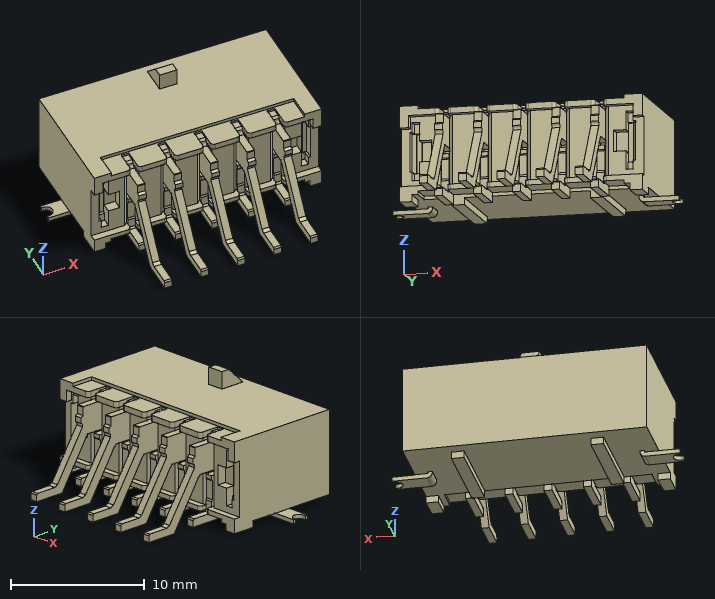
import cadquery as cq


housing_width = 18.75
housing_depth = 9.92
housing_top = 7.35
housing_bottom = 0.53
half_width = housing_width / 2
face_setback = 0.55
rim_lower_top = 1.2
rim_upper_bottom = 6.6
corner_drop_bottom = 5.68
corner_drop_width = 0.7
rim_relief = 0.27
rim_relief_width = 15.91
rim_relief_depth = 1.95
relief_bottom = housing_bottom + rim_relief
relief_top = housing_top - rim_relief

foot_width = 0.95
foot_depth = rim_relief_depth
rail_width = 0.97
rail_center = 5.35
rail_back = 8.93

latch_width = 1.41
latch_top = 8.75
latch_front = 7.12
latch_crest_back = 7.87
latch_back = 9.3

contact_count = 5
pitch = 3.0
contact_thickness = 0.62
groove_depth = 1.8
groove_flare = 0.29
contact_bottom = 0.05
tail_top = 0.7
tip_chamfer = 0.1
upper_tip = -5.97
upper_blade_bottom = 4.09
upper_blade_top = 6.39
barb_top = 6.92
barb_start = 0.82
barb_ramp_low = (0.97, 6.6)
barb_ramp_high = (1.02, 6.75)
barb_crest = 1.2
nose_front = -1.13
nose_chamfer = 0.05
bead_front = -1.35
bead_top = 5.55
bead_bottom = 5.1
bead_slope = 0.13
neck_front = -1.2
neck_bottom = 4.8
neck_mid = (-1.22, 5.0)
leg_top_foot = (-3.8, 0.86)
tail_start = -4.09
leg_bottom_foot = -3.3
leg_bottom_head = (-0.82, 3.87)
leg_bottom_root = -0.6
lower_tip = bead_front
lower_blade_top = 3.67
lower_blade_front = 0.6
blade_hollow = 0.07
hollow_bottom = 1.6
hollow_top = 3.34
hollow_lower_slope = 0.15
hollow_upper_slope = 0.09
tail_bevel = 0.13
contact_root = rim_relief_depth

pocket_inner_x = 7.95
clip_slot_width = 0.57
clip_slot_depth = 0.65
clip_slot_bottom = 1.72
clip_slot_top = 6.17
wide_slot_width = 0.75
wide_slot_step_width = 0.33
wide_slot_step_depth = 0.7
wide_slot_depth = 0.88
wide_slot_bottom = 2.39
wide_slot_top = 5.41
window_width = 0.93
window_bottom = 3.14
window_top = 4.75
window_depth = 0.77

clip_tip = 11.05
clip_front = 4.53
clip_width = 1.5
clip_thickness = 0.35
clip_leg_top = 1.77
clip_bend_radius = 0.42
clip_bend_inner_radius = clip_bend_radius - clip_thickness
clip_notch_radius = 0.5
clip_notch_length = 0.66


def box(x_range, y_range, z_range):
    """Box spanning the given (low, high) ranges."""
    size = [high - low for low, high in (x_range, y_range, z_range)]
    corner = (x_range[0], y_range[0], z_range[0])
    return cq.Workplane("XY").box(*size, centered=False).translate(corner)


def on_both_ends(shape):
    """The shape together with its mirror image at the other end of the row."""
    return shape.union(shape.mirror("YZ"))


def side_plate(profile, width, x_center=0.0):
    """Plate of the given X width from a closed (y, z) outline."""
    plane = cq.Workplane("YZ", origin=(x_center - width / 2, 0, 0))
    return plane.polyline(profile).close().extrude(width)


def make_housing():
    full_x = (-half_width, half_width)
    relief_x = (-rim_relief_width / 2, rim_relief_width / 2)
    inner_x = (-half_width + corner_drop_width, half_width - corner_drop_width)
    housing = box(full_x, (0, housing_depth), (housing_bottom, housing_top))
    setback = (0, face_setback)
    housing = housing.cut(box(full_x, setback, (rim_lower_top, corner_drop_bottom)))
    housing = housing.cut(box(inner_x, setback, (corner_drop_bottom, rim_upper_bottom)))
    for z_range in ((housing_bottom, relief_bottom), (relief_top, housing_top)):
        housing = housing.cut(box(relief_x, (0, rim_relief_depth), z_range))
    return housing


def make_feet():
    base_z = (0, housing_bottom)
    foot = box((-half_width, -half_width + foot_width), (0, foot_depth), base_z)
    rail_x = (-rail_center - rail_width / 2, -rail_center + rail_width / 2)
    rail = box(rail_x, (foot_depth, rail_back), base_z)
    return on_both_ends(foot.union(rail))


def make_latch():
    profile = [
        (latch_front, housing_top),
        (latch_front, latch_top),
        (latch_crest_back, latch_top),
        (latch_back, housing_top),
    ]
    return side_plate(profile, latch_width)


def make_groove(x_center):
    """Contact groove: chamfered mouth in the pin face, rounded mouths through the rims."""
    half = contact_thickness / 2
    mouth = half + groove_flare
    slot = box((-half, half), (0, groove_depth), (relief_bottom, relief_top))
    face_mouth = (
        cq.Workplane("XY", origin=(0, 0, rim_lower_top))
        .polyline([
            (-mouth, face_setback),
            (mouth, face_setback),
            (half, face_setback + groove_flare),
            (-half, face_setback + groove_flare),
        ])
        .close()
        .extrude(rim_upper_bottom - rim_lower_top)
    )
    rim_mouth = (
        cq.Workplane("XY", origin=(0, 0, relief_bottom))
        .moveTo(-mouth, 0)
        .radiusArc((-half, groove_flare), -groove_flare)
        .lineTo(half, groove_flare)
        .radiusArc((mouth, 0), -groove_flare)
        .close()
        .extrude(relief_top - relief_bottom)
    )
    return slot.union(face_mouth).union(rim_mouth).translate((x_center, 0, 0))


def make_upper_contact(x_center):
    barb_and_nose = [
        (barb_crest, barb_top),
        barb_ramp_high,
        barb_ramp_low,
        (barb_start, upper_blade_top),
        (nose_front + nose_chamfer, upper_blade_top),
        (nose_front, upper_blade_top - nose_chamfer),
        (nose_front, bead_top + bead_slope),
        (bead_front, bead_top),
        (bead_front, bead_bottom),
    ]
    leg_and_tail = [
        leg_top_foot,
        (tail_start, tail_top),
        (upper_tip + tip_chamfer, tail_top),
        (upper_tip, tail_top - tip_chamfer),
        (upper_tip, contact_bottom),
        (leg_bottom_foot, contact_bottom),
        leg_bottom_head,
        (leg_bottom_root, upper_blade_bottom),
        (contact_root, upper_blade_bottom),
    ]
    return (
        cq.Workplane("YZ", origin=(x_center - contact_thickness / 2, 0, 0))
        .moveTo(contact_root, barb_top)
        .polyline(barb_and_nose, includeCurrent=True)
        .threePointArc(neck_mid, (neck_front, neck_bottom))
        .polyline(leg_and_tail, includeCurrent=True)
        .close()
        .extrude(contact_thickness)
    )


def make_lower_contact(x_center):
    hollow_face = lower_blade_front + blade_hollow
    profile = [
        (contact_root, contact_bottom),
        (contact_root, lower_blade_top),
        (lower_blade_front, lower_blade_top),
        (lower_blade_front, hollow_top),
        (hollow_face, hollow_top - hollow_upper_slope),
        (hollow_face, hollow_bottom + hollow_lower_slope),
        (lower_blade_front, hollow_bottom),
        (lower_blade_front, tail_top + tail_bevel),
        (lower_blade_front - tail_bevel, tail_top),
        (lower_tip + tip_chamfer, tail_top),
        (lower_tip, tail_top - tip_chamfer),
        (lower_tip, contact_bottom),
    ]
    return side_plate(profile, contact_thickness, x_center)


def make_side_pockets():
    def pocket(x_low, width, depth, z_range):
        return box((x_low, x_low + width), (face_setback, face_setback + depth), z_range)

    inner = -pocket_inner_x
    wide_z = (wide_slot_bottom, wide_slot_top)
    deep_width = wide_slot_width - wide_slot_step_width
    cutter = pocket(inner - clip_slot_width, clip_slot_width, clip_slot_depth,
                    (clip_slot_bottom, clip_slot_top))
    cutter = cutter.union(pocket(inner - wide_slot_width, wide_slot_width, wide_slot_step_depth, wide_z))
    cutter = cutter.union(pocket(inner - deep_width, deep_width, wide_slot_depth, wide_z))
    cutter = cutter.union(pocket(inner, window_width, window_depth, (window_bottom, window_top)))
    return on_both_ends(cutter)


def make_solder_clips():
    """Flat tab with a notched tip, bent up into a leg that enters the housing floor."""
    leg_outer = -pocket_inner_x
    leg_inner = leg_outer - clip_thickness
    top = contact_bottom + clip_thickness
    clip = (
        cq.Workplane("XZ", origin=(0, clip_front, 0))
        .moveTo(-clip_tip, contact_bottom)
        .lineTo(leg_outer - clip_bend_radius, contact_bottom)
        .radiusArc((leg_outer, contact_bottom + clip_bend_radius), -clip_bend_radius)
        .lineTo(leg_outer, clip_leg_top)
        .lineTo(leg_inner, clip_leg_top)
        .lineTo(leg_inner, top + clip_bend_inner_radius)
        .radiusArc((leg_inner - clip_bend_inner_radius, top), clip_bend_inner_radius)
        .lineTo(-clip_tip, top)
        .close()
        .extrude(-clip_width)
    )
    notch = (
        cq.Workplane("XY")
        .center(-clip_tip, clip_front + clip_width / 2)
        .slot2D(2 * clip_notch_length, 2 * clip_notch_radius)
        .extrude(top)
    )
    return on_both_ends(clip.cut(notch))


contact_places = [(i - (contact_count - 1) / 2) * pitch for i in range(contact_count)]

result = make_housing().union(make_feet()).union(make_latch()).cut(make_side_pockets())
for place in contact_places:
    result = result.cut(make_groove(place))
for place in contact_places:
    result = result.union(make_upper_contact(place)).union(make_lower_contact(place))
result = result.union(make_solder_clips())